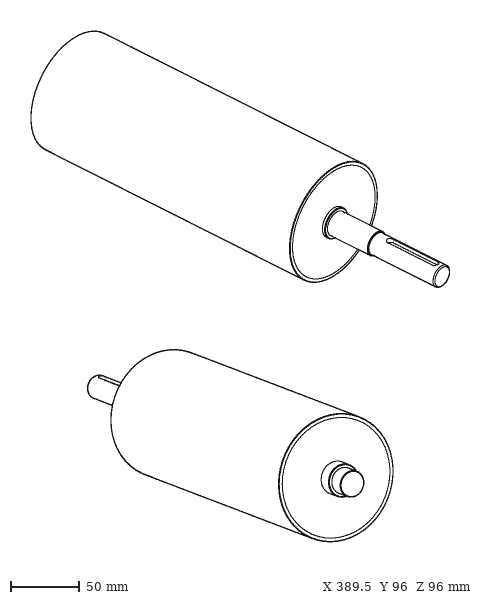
import cadquery as cq

total_length = 389.5
shaft_left = -total_length / 2
shaft_right = total_length / 2
journal_length = 13.2
drum_offset = 25.0
drum_left = shaft_left + drum_offset
drum_length = 257.0
drum_right = drum_left + drum_length
collar_overhang = 2.7
drive_length = 64.5

drive_diameter = 18.0
journal_diameter = 20.0
collar_diameter = 25.0
drum_diameter = 90.0
cover_diameter = 96.0

journal_chamfer = 0.5
collar_chamfer = 0.5
drive_chamfer = 0.97
cover_chamfer = 0.5

key_width = 6.0
key_length = 50.0
key_depth = 3.5
key_end_gap = 4.3


def cylinder(diameter, start, end):
    """Cylinder on the X axis between two X positions."""
    return cq.Workplane("YZ", origin=(start, 0, 0)).circle(diameter / 2).extrude(end - start)


def make_keyway():
    """Round-ended cutter for the keyway in the top of the drive end."""
    key_center = shaft_right - key_end_gap - key_length / 2
    key_floor = drive_diameter / 2 - key_depth
    return (
        cq.Workplane("XY", origin=(key_center, 0, key_floor))
        .slot2D(key_length, key_width)
        .extrude(drive_diameter)
    )


def make_shaft():
    """Stepped shaft: left journal, collar through the drum, right journal, drive end."""
    collar_left = shaft_left + journal_length
    collar_right = drum_right + collar_overhang
    drive_left = shaft_right - drive_length
    left_journal = cylinder(journal_diameter, shaft_left, collar_left).faces("<X").chamfer(journal_chamfer)
    collar = cylinder(collar_diameter, collar_left, collar_right).faces("<X or >X").chamfer(collar_chamfer)
    right_journal = cylinder(journal_diameter, collar_right, drive_left).faces(">X").chamfer(journal_chamfer)
    drive_end = cylinder(drive_diameter, drive_left, shaft_right).faces(">X").chamfer(drive_chamfer)
    return left_journal.union(collar).union(right_journal).union(drive_end).cut(make_keyway())


def make_drum():
    """Drum core bored for the shaft collar."""
    core = cylinder(drum_diameter, drum_left, drum_right)
    return core.cut(cylinder(collar_diameter, drum_left, drum_right))


def make_cover():
    """Sleeve over the full length of the drum, with broken outer edges."""
    sleeve = cylinder(cover_diameter, drum_left, drum_right).faces("<X or >X").chamfer(cover_chamfer)
    return sleeve.cut(cylinder(drum_diameter, drum_left, drum_right))


shaft = make_shaft()
drum = make_drum()
cover = make_cover()

result = cq.Compound.makeCompound([shaft.val(), drum.val(), cover.val()])